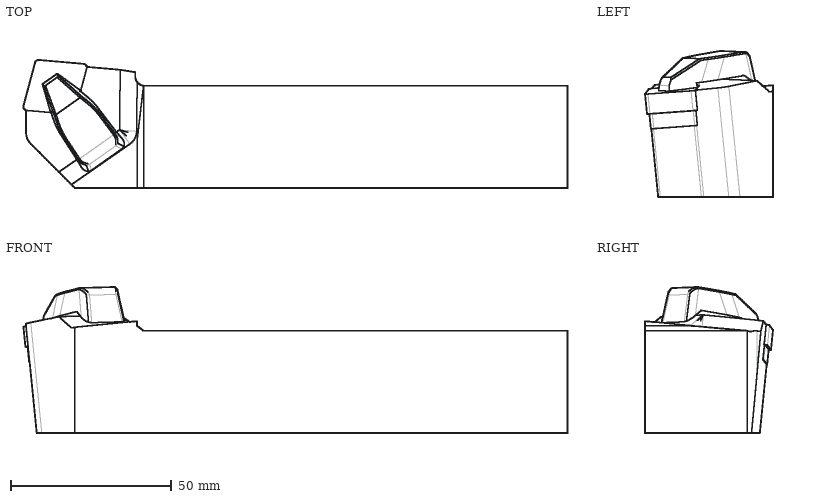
import cadquery as cq
import math

total_length = 169.8
shank_width = 32.0
shank_height = 32.0

seat_slope = 0.1
seat_height = 35.7
seat_normal = cq.Vector(-seat_slope, seat_slope, 1).normalized()

tip_x, tip_y = 3.9, 40.0
lead_angle = 15
back_angle = 5
insert_edge = 16.3
insert_thickness = 6.3
insert_corner_radius = 1.2
insert_hole_radius = 2.0
shim_thickness = 4.8
shim_inset = 0.7
shim_edge = 15.6
head_inset = 0.8
head_tip_radius = 0.8

neck_x = 0.8
chamfer_leg = 16.1
head_end_x = 35.0
head_end_radius = 2.9
neck_side_radius = 2.9
neck_chamfer_radius = 5.0
tool_reach = 51

shelf_drop = 4.2
wall_run = 5.0
platform_corner = (30.0, 18.2)
clamp_angle = 35

ramp_start_x = 35.5
ramp_end_x = 37.5
ramp_slope = 0.75

clamp_x, clamp_y = 19.2, 18.5
clamp_top = 8.7
clamp_gap = 1.45
nose_along = 19.2
foot_along = 10.4
bevel_start = (7.6, clamp_top)
nose_crest = (17.7, 4.0)
nose_edge = (18.8, 1.7)
clamp_corner_radius = 2.4
clamp_back_radius = 2.9
clamp_rim = 0.5

base_side = [(-11.5, 8.06), (5.6, 7.3), (11.0, 6.1), (nose_along, 3.14)]
top_side = [(-10.5, 7.05), (-0.3, 6.8), (5.1, 5.85), (nose_along, 1.61)]
bend_bow = 0.2


def seat_point(x, y, height=0.0):
    """A point over (x, y) on the tilted plane, moved along the plane's normal."""
    on_seat = cq.Vector(x, y, seat_height + seat_slope * (x - y))
    return on_seat + seat_normal * height


def seat_prism(outline, top, bottom):
    """A prism along the tilted normal between two heights over the tilted plane."""
    points = [seat_point(x, y, top) for x, y in outline]
    wire = cq.Wire.makePolygon(points, close=True)
    return cq.Workplane(cq.Solid.extrudeLinear(wire, [], seat_normal * (bottom - top)))


lead = (-math.sin(math.radians(lead_angle)), -math.cos(math.radians(lead_angle)))
back = (math.cos(math.radians(back_angle)), -math.sin(math.radians(back_angle)))
tip_sine = abs(lead[0] * back[1] - lead[1] * back[0])
along_seat = cq.selectors.ParallelDirSelector(seat_normal)


def inset_tip(inset):
    """The cutting corner moved inwards by the same distance from both edges."""
    return tuple(t + inset * (a + b) / tip_sine for t, a, b in zip((tip_x, tip_y), lead, back))


def rhombus_plate(inset, edge, top, thickness):
    """A plate of the insert's shape with rounded corners."""
    x, y = inset_tip(inset)
    first = (lead[0] * edge, lead[1] * edge)
    second = (back[0] * edge, back[1] * edge)
    outline = [
        (x, y),
        (x + first[0], y + first[1]),
        (x + first[0] + second[0], y + first[1] + second[1]),
        (x + second[0], y + second[1]),
    ]
    return seat_prism(outline, top, top - thickness).edges(along_seat).fillet(insert_corner_radius)


def make_pin():
    """The clamp's pin, which passes through the insert into the shim."""
    center_x = tip_x + (lead[0] + back[0]) * insert_edge / 2
    center_y = tip_y + (lead[1] + back[1]) * insert_edge / 2
    start = seat_point(center_x, center_y, -insert_thickness)
    return cq.Workplane(cq.Solid.makeCylinder(insert_hole_radius, insert_thickness + clamp_gap, start, seat_normal))


def make_insert():
    return rhombus_plate(0, insert_edge, 0, insert_thickness).cut(make_pin())


def make_head():
    """The head up to the tilted plane, before the shelf is cut around its platform."""
    corner_x, corner_y = inset_tip(head_inset)
    neck_y = corner_y - (corner_x - neck_x) / math.tan(math.radians(lead_angle))
    far_y = corner_y - (tool_reach - corner_x) * math.tan(math.radians(back_angle))
    outline = [
        (neck_x, neck_y),
        (corner_x, corner_y),
        (tool_reach, far_y),
        (tool_reach, -tool_reach),
        (neck_x, -tool_reach),
    ]
    flanks = seat_prism(outline, 0, -tool_reach)
    neck_edge = cq.selectors.NearestToPointSelector(seat_point(neck_x, neck_y, -tool_reach / 2).toTuple())
    tip_edge = cq.selectors.NearestToPointSelector(seat_point(corner_x, corner_y, -tool_reach / 2).toTuple())
    flanks = flanks.edges(along_seat).edges(neck_edge).fillet(neck_side_radius)
    flanks = flanks.edges(along_seat).edges(tip_edge).fillet(head_tip_radius)
    end_y = shank_width + head_end_radius
    arc_x = head_end_x + head_end_radius
    bow = head_end_radius * (1 - math.sqrt(0.5))
    walls = (
        cq.Workplane()
        .moveTo(chamfer_leg, 0)
        .lineTo(arc_x, 0)
        .lineTo(arc_x, shank_width)
        .threePointArc((head_end_x + bow, shank_width + bow), (head_end_x, end_y))
        .lineTo(head_end_x, tool_reach)
        .lineTo(-tool_reach, tool_reach)
        .lineTo(-tool_reach, chamfer_leg + tool_reach)
        .close()
        .extrude(tool_reach)
    )
    head = flanks.intersect(walls)
    middle = shank_height / 2
    neck_middle_x = neck_x + seat_slope * middle
    corner = cq.selectors.NearestToPointSelector((neck_middle_x, chamfer_leg - neck_middle_x, middle))
    return head.edges(corner).fillet(neck_chamfer_radius)


def make_platform():
    """The raised area; its walls flare outwards down to the shelf."""
    x, y = platform_corner
    run = tool_reach
    rise = run * math.tan(math.radians(clamp_angle))
    plane = cq.Plane(seat_point(x, y), (1, 0, seat_slope), -seat_normal)
    flare = math.degrees(math.atan(wall_run / shelf_drop))
    return (
        cq.Workplane(plane)
        .polyline([(0, 0), (0, -run), (-run, -run), (-run, rise)])
        .close()
        .extrude(shelf_drop, taper=-flare)
    )


def make_shelf_cut():
    """All of the head above the shelf and outside the platform."""
    far = tool_reach
    square = [(-far, -far), (far, -far), (far, far), (-far, far)]
    return seat_prism(square, far, -shelf_drop).cut(make_platform())


def make_ramp_cut():
    ramp_top = shank_height + ramp_slope * (ramp_end_x - ramp_start_x)
    ramp_stop = head_end_x + head_end_radius
    return (
        cq.Workplane("XZ")
        .polyline([
            (ramp_start_x, ramp_top),
            (ramp_end_x, shank_height),
            (ramp_stop, shank_height),
            (ramp_stop, tool_reach),
            (ramp_start_x, tool_reach),
        ])
        .close()
        .extrude(-tool_reach)
    )


def clamp_outline(side, height, nose_direction):
    """The clamp's symmetric plan at one height: straight back half, bend, narrowing nose."""
    across_direction = seat_normal.cross(nose_direction).normalized()

    def point(along, across):
        return seat_point(clamp_x, clamp_y, height) + nose_direction * along + across_direction * across

    rear, bend_start, bend_end, nose = side
    bend_along = (bend_start[0] + bend_end[0]) / 2
    bend_half_width = (bend_start[1] + bend_end[1]) / 2 + bend_bow

    def half(sign):
        a, b, c, d = [point(along, sign * half_width) for along, half_width in side]
        bend = cq.Edge.makeThreePointArc(b, point(bend_along, sign * bend_half_width), c)
        return [cq.Edge.makeLine(a, b), bend, cq.Edge.makeLine(c, d)]

    nose_end = cq.Edge.makeLine(point(nose[0], -nose[1]), point(*nose))
    rear_end = cq.Edge.makeLine(point(*rear), point(rear[0], -rear[1]))
    return cq.Wire.assembleEdges(half(-1) + [nose_end] + half(1)[::-1] + [rear_end])


def make_clamp():
    """The clamp finger, standing clear of the head and resting on the insert with its nose."""
    angle = math.radians(clamp_angle)
    nose_x, nose_y = -math.sin(angle), math.cos(angle)
    nose_direction = cq.Vector(nose_x, nose_y, seat_slope * (nose_x - nose_y))
    base = clamp_gap - shelf_drop
    base_rear = base_side[0][0]
    top_rear = top_side[0][0]

    base_wire = clamp_outline(base_side, base, nose_direction)
    top_wire = clamp_outline(top_side, clamp_top, nose_direction)
    body = cq.Workplane(cq.Solid.makeLoft([base_wire, top_wire], True))
    across_direction = seat_normal.cross(nose_direction).normalized()

    def nearest(along, across, height):
        axis = seat_point(clamp_x, clamp_y, height)
        return cq.selectors.NearestToPointSelector((axis + nose_direction * along + across_direction * across).toTuple())

    rear_half_width = base_side[0][1]
    for across in (-rear_half_width, rear_half_width):
        body = body.edges(nearest(base_rear, across, clamp_top / 2)).fillet(clamp_corner_radius)

    profile = cq.Plane(seat_point(clamp_x, clamp_y), nose_direction, nose_direction.cross(seat_normal))
    outline = (
        cq.Workplane(profile)
        .polyline([
            (base_rear, base),
            (base_rear + wall_run, clamp_gap),
            (foot_along, clamp_gap),
            (foot_along, 0),
            (nose_along, 0),
            nose_edge,
            nose_crest,
            bevel_start,
            (top_rear, clamp_top),
        ])
        .close()
        .extrude(tool_reach, both=True)
    )
    outline = outline.edges(nearest(top_rear, 0, clamp_top)).fillet(clamp_back_radius)
    body = body.intersect(outline)

    straight, bend, narrowing = [
        ((a[0] + b[0]) / 2, (a[1] + b[1]) / 2, clamp_top) for a, b in zip(top_side, top_side[1:])
    ]
    narrowing = (bevel_start[0], top_side[2][1], clamp_top)
    bevel = (
        (bevel_start[0] + nose_crest[0]) / 2,
        (top_side[2][1] + base_side[3][1]) / 2,
        (bevel_start[1] + nose_crest[1]) / 2,
    )
    rim = []
    for along, half_width, height in (straight, bend, narrowing, bevel):
        for sign in (-1, 1):
            rim += body.edges(nearest(along, sign * half_width, height)).vals()
    return body.newObject(rim).chamfer(clamp_rim)


def make_holder():
    shank = (
        cq.Workplane()
        .box(total_length - ramp_end_x, shank_width, shank_height, centered=False)
        .translate((ramp_end_x, 0, 0))
    )
    head = make_head().cut(make_shelf_cut()).cut(make_ramp_cut())
    shim = rhombus_plate(shim_inset, shim_edge, -insert_thickness, shim_thickness)
    body = head.union(shank).cut(rhombus_plate(0, insert_edge, 0, insert_thickness))
    return body.union(shim).union(make_pin()).union(make_clamp())


holder = make_holder()
insert = make_insert()
result = cq.Compound.makeCompound([holder.val(), insert.val()])